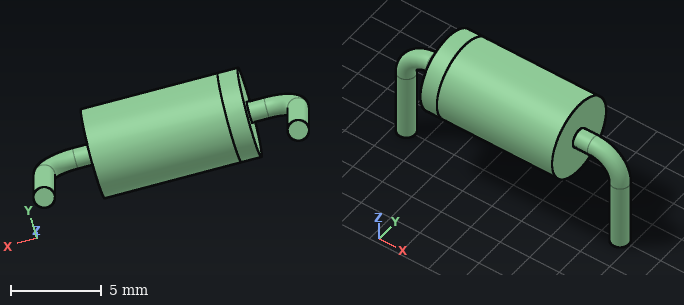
import cadquery as cq

overall_length = 15.7
overall_height = 8.92
body_diameter = 5.1
body_length = 8.95
band_width = 1.13
wire_diameter = 1.2
bend_radius = 1.5 * wire_diameter

leg_x = (overall_length - wire_diameter) / 2
leg_tip_z = body_diameter / 2 - overall_height
body_start_x = -body_length / 2
band_end_x = body_start_x + band_width
body_end_x = body_length / 2


def make_sleeve(start_x, end_x):
    """Cylinder along X with a through bore that fits the wire."""
    return (
        cq.Workplane("YZ", origin=(start_x, 0, 0))
        .circle(body_diameter / 2)
        .circle(wire_diameter / 2)
        .extrude(end_x - start_x)
    )


def make_wire():
    """One continuous round wire through the body, bent down into a leg at each end."""
    straight_end_x = leg_x - bend_radius
    path = (
        cq.Workplane("XZ")
        .moveTo(-leg_x, leg_tip_z)
        .lineTo(-leg_x, -bend_radius)
        .tangentArcPoint((-straight_end_x, 0), relative=False)
        .lineTo(straight_end_x, 0)
        .tangentArcPoint((leg_x, -bend_radius), relative=False)
        .lineTo(leg_x, leg_tip_z)
    )
    return (
        cq.Workplane("XY", origin=(-leg_x, 0, leg_tip_z))
        .circle(wire_diameter / 2)
        .sweep(path)
    )


polarity_band = make_sleeve(body_start_x, band_end_x)
main_body = make_sleeve(band_end_x, body_end_x)
lead_wire = make_wire()

result = cq.Compound.makeCompound([polarity_band.val(), main_body.val(), lead_wire.val()])